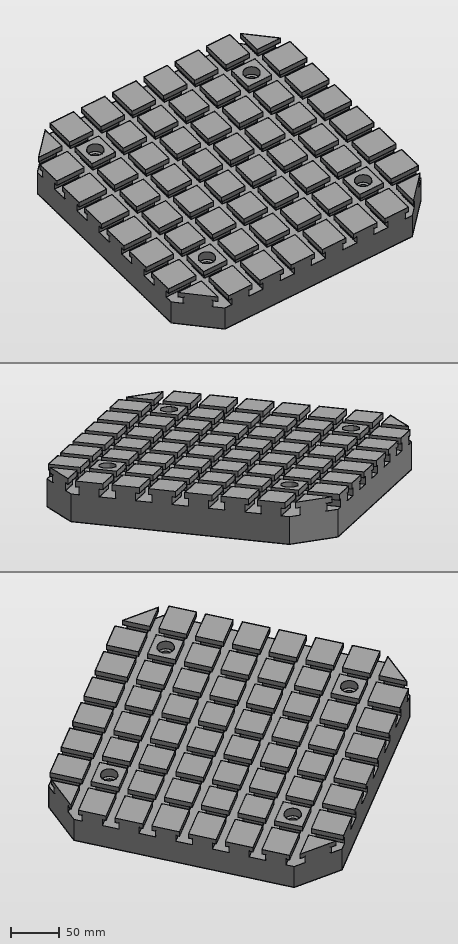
import cadquery as cq

side = 320.0
thickness = 45.0
corner_chamfer = 40.0

slot_pitch = 40.0
slots_per_direction = 7
slot_neck_width = 10.0
slot_foot_width = 18.0
slot_depth = 14.7
slot_foot_height = 8.3

pads_between_holes = 5
hole_spacing = pads_between_holes * slot_pitch
hole_diameter = 11.0
counterbore_diameter = 18.0
counterbore_depth = 11.0


def make_plate():
    """Square plate with its base on Z = 0 and its four upright corners cut off."""
    plate = cq.Workplane("XY").box(side, side, thickness, centered=(True, True, False))
    return plate.edges("|Z").chamfer(corner_chamfer)


def make_slot(offset):
    """T-shaped bar along Y, centred on X = offset and open at the top face."""
    floor_z = thickness - slot_depth
    centered = (True, True, False)
    neck = cq.Workplane("XY").box(slot_neck_width, side, slot_depth, centered=centered)
    foot = cq.Workplane("XY").box(slot_foot_width, side, slot_foot_height, centered=centered)
    return neck.union(foot).translate((offset, 0, floor_z))


def cut_slots(body):
    """Cut the evenly spaced slots in both directions."""
    for index in range(slots_per_direction):
        offset = (index - (slots_per_direction - 1) / 2) * slot_pitch
        slot = make_slot(offset)
        crossing_slot = slot.rotate((0, 0, 0), (0, 0, 1), 90)
        body = body.cut(slot).cut(crossing_slot)
    return body


def cut_holes(body):
    """Drill the four through holes, counterbored from the top."""
    top = cq.Workplane("XY").workplane(offset=thickness)
    centres = top.rect(hole_spacing, hole_spacing, forConstruction=True).vertices()
    shanks = centres.circle(hole_diameter / 2).extrude(-thickness)
    heads = centres.circle(counterbore_diameter / 2).extrude(-counterbore_depth)
    return body.cut(shanks).cut(heads)


result = cut_holes(cut_slots(make_plate()))